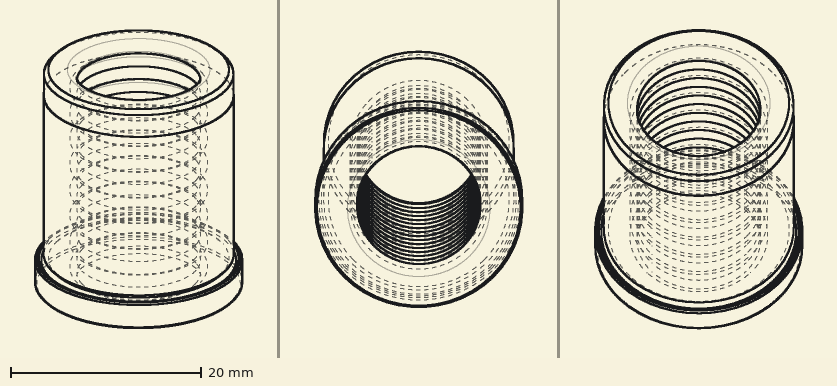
import cadquery as cq

height = 25.0
flange_radius = 10.9
flange_height = 3.0
flange_chamfer = 0.2

body_radius = 10.0
lead_radius = 9.98
lead_length = 3.0
lead_chamfer = 0.48

neck_chamfer = 0.5
undercut_outer_radius = 10.5
undercut_round_outer_radius = 10.25
undercut_depth = undercut_outer_radius - undercut_round_outer_radius
neck_radius = body_radius - neck_chamfer
undercut_round_mid_radius = 9.75

bore_radius = 6.5
mouth_fillet = 1.0
groove_radius = 0.75
groove_count = 8
groove_pitch = 3.0
first_groove_z = (height - (groove_count - 1) * groove_pitch) / 2


def make_outer_body():
    """Revolve the solid outer profile about Z."""
    flange_face_radius = flange_radius - flange_chamfer
    undercut_ramp_bottom_z = flange_height - undercut_depth
    return (
        cq.Workplane("XZ")
        .lineTo(flange_face_radius, 0)
        .lineTo(flange_radius, flange_chamfer)
        .lineTo(flange_radius, flange_height - flange_chamfer)
        .lineTo(flange_face_radius, flange_height)
        .lineTo(undercut_outer_radius, flange_height)
        .lineTo(undercut_round_outer_radius, undercut_ramp_bottom_z)
        .threePointArc((undercut_round_mid_radius, undercut_ramp_bottom_z), (neck_radius, flange_height))
        .lineTo(body_radius, flange_height + neck_chamfer)
        .lineTo(body_radius, height - lead_length)
        .lineTo(lead_radius, height - lead_length)
        .lineTo(lead_radius, height - lead_chamfer)
        .lineTo(lead_radius - lead_chamfer, height)
        .lineTo(0, height)
        .close()
        .revolve(360, (0, 0), (0, 1))
    )


def make_bore():
    """Through bore, flared by the rounding of both mouths."""
    mouth_radius = bore_radius + mouth_fillet
    arc_mid_radius = mouth_radius - mouth_fillet * 0.5**0.5
    arc_mid_depth = mouth_fillet - mouth_fillet * 0.5**0.5
    return (
        cq.Workplane("XZ")
        .lineTo(mouth_radius, 0)
        .threePointArc((arc_mid_radius, arc_mid_depth), (bore_radius, mouth_fillet))
        .lineTo(bore_radius, height - mouth_fillet)
        .threePointArc((arc_mid_radius, height - arc_mid_depth), (mouth_radius, height))
        .lineTo(0, height)
        .close()
        .revolve(360, (0, 0), (0, 1))
    )


result = make_outer_body().cut(make_bore())
for index in range(groove_count):
    groove_z = first_groove_z + index * groove_pitch
    groove = cq.Solid.makeTorus(bore_radius, groove_radius, cq.Vector(0, 0, groove_z))
    result = result.cut(cq.Workplane(obj=groove))